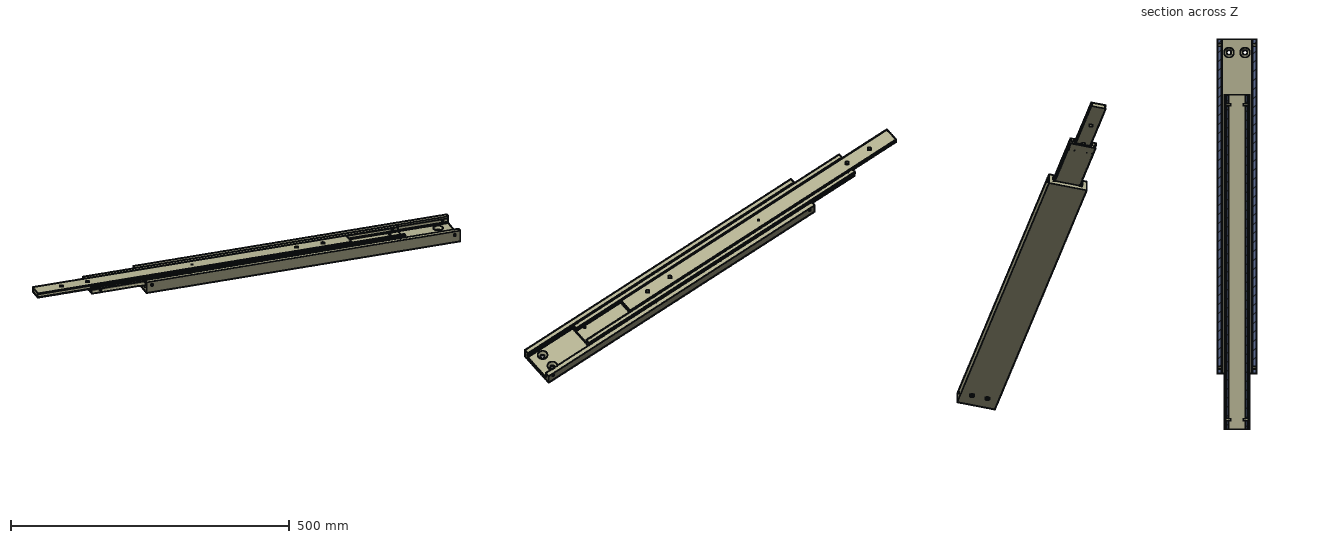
import cadquery as cq

total_length = 800.0
rail_length = 600.0
step = (total_length - rail_length) / 2
outer_back = total_length / 2
middle_back = outer_back - step
inner_back = middle_back - step

outer_width = 70.0
outer_top = 22.0
outer_opening = 53.0
floor_top = 8.0

middle_width = 48.0
middle_bottom = 10.0
middle_top = 23.0
middle_opening = 30.0
web_top = 14.0

inner_width = 27.0
inner_bottom = 15.0
inner_top = 24.0

shoulder_chamfer = 1.0

large_track_x = 24.0
large_track_z = 14.0
large_track_diameter = 8.0
small_track_x = (middle_opening + inner_width) / 4
small_track_z = 19.0
small_track_diameter = 6.0

stop_diameter = 4.0
stop_inset = 10.0
web_stop_inset = 18.0
web_stop_x = 11.0

screw_x = 14.0
screw_inset = 24.0
screw_diameter = 8.0
screw_head_diameter = 18.0
screw_angle = 90
mount_pitch = rail_length / 12
mount_insets = (mount_pitch, 2 * mount_pitch)
mount_diameter = 6.0
centre_diameter = 2.0


def bar(width, bottom, top, back):
    """Straight rectangular bar of rail length that ends at Y = back."""
    size = (width, rail_length, top - bottom)
    block = cq.Workplane("XY").box(*size, centered=(True, False, False))
    return block.translate((0, back - rail_length, bottom))


def both_ends(back, inset):
    """Y positions at one inset from the back and front ends of a rail."""
    return back - inset, back - rail_length + inset


def cross_hole(x_start, x_end, y, z, diameter):
    """Round cutter along X."""
    cutter = cq.Workplane("YZ").center(y, z).circle(diameter / 2).extrude(x_end - x_start)
    return cutter.translate((x_start, 0, 0))


def cut_tracks(body, x, z, diameter):
    """Cut the pair of ball tracks along the whole rail assembly."""
    tracks = (
        cq.Workplane("XZ")
        .pushPoints([(-x, z), (x, z)])
        .circle(diameter / 2)
        .extrude(total_length / 2, both=True)
    )
    return body.cut(tracks)


def make_outer_rail():
    body = bar(outer_width, 0, outer_top, outer_back)
    body = body.cut(bar(outer_opening, floor_top, outer_top, outer_back))
    body = cut_tracks(body, large_track_x, large_track_z, large_track_diameter)
    for y in both_ends(outer_back, stop_inset):
        body = body.cut(cross_hole(-outer_width / 2, outer_width / 2, y, large_track_z, stop_diameter))
    screw_y = outer_back - screw_inset
    return (
        body.copyWorkplane(cq.Workplane("XY", origin=(0, 0, floor_top)))
        .pushPoints([(-screw_x, screw_y), (screw_x, screw_y)])
        .cskHole(screw_diameter, screw_head_diameter, screw_angle)
    )


def make_middle_rail():
    body = bar(middle_width, middle_bottom, middle_top, middle_back)
    body = body.edges("|Y").chamfer(shoulder_chamfer)
    body = body.cut(bar(middle_opening, web_top, middle_top, middle_back))
    body = cut_tracks(body, large_track_x, large_track_z, large_track_diameter)
    body = cut_tracks(body, small_track_x, small_track_z, small_track_diameter)
    for y in both_ends(middle_back, stop_inset):
        body = body.cut(cross_hole(-middle_width / 2, middle_width / 2, y, small_track_z, stop_diameter))
    for y in both_ends(middle_back, web_stop_inset):
        for side in (-1, 1):
            x_range = sorted((side * web_stop_x, side * middle_width / 2))
            body = body.cut(cross_hole(*x_range, y, large_track_z, stop_diameter))
    return body


def make_inner_rail():
    body = bar(inner_width, inner_bottom, inner_top, inner_back)
    body = cut_tracks(body, small_track_x, small_track_z, small_track_diameter)
    top = cq.Workplane("XY", origin=(0, 0, inner_top))
    thickness = inner_top - inner_bottom
    for inset in mount_insets:
        for y in both_ends(inner_back, inset):
            body = body.cut(top.center(0, y).circle(mount_diameter / 2).extrude(-thickness))
    rail_middle = inner_back - rail_length / 2
    return body.cut(top.center(0, rail_middle).circle(centre_diameter / 2).extrude(-thickness))


outer_rail = make_outer_rail()
middle_rail = make_middle_rail()
inner_rail = make_inner_rail()
result = cq.Compound.makeCompound([outer_rail.val(), middle_rail.val(), inner_rail.val()])